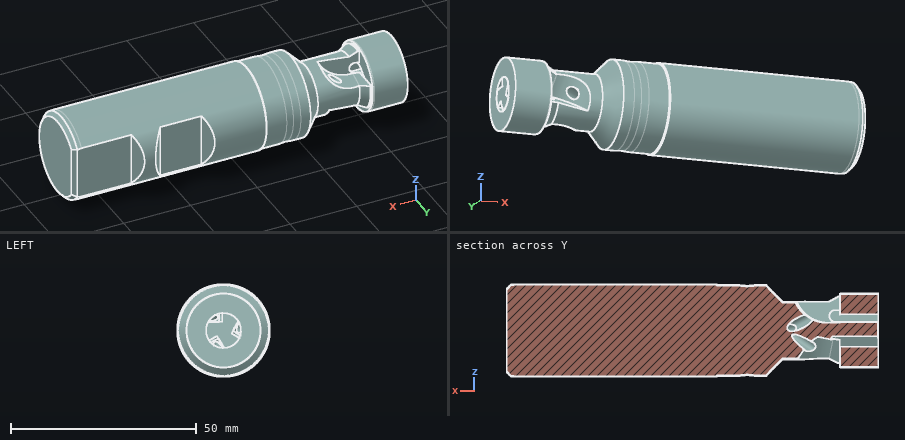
import cadquery as cq
import math

LENGTH = 100.0
HEAD_END = 10.4
COLLAR_END = 10.8
FLARE_END = 13.3
NECK_END = 25.8
BODY_START = 30.2
GROOVE_CENTRE = 35.3
GROOVE_HALF_WIDTH = 2.1
SHANK_START = 43.3
HEAD_CHAMFER_LENGTH = 0.4
SHANK_CHAMFER_LENGTH = 1.2
SHANK_LEAD_LENGTH = 1.2

HEAD_RADIUS = 20.0 / 2
COLLAR_RADIUS = 9.2
NECK_RADIUS = 15.6 / 2
BODY_RADIUS = 24.5 / 2
SHANK_RADIUS = 25.0 / 2
HEAD_CHAMFER_DEPTH = 0.1
GROOVE_DEPTH = 0.2
SHANK_LEAD_DEPTH = 0.1
SHANK_CHAMFER_DEPTH = 1.2

FLAT_Y = 9.8
FIRST_FLAT = (61.7, 74.0)
SECOND_FLAT_START = 82.7

FLUTE_COUNT = 3
SPIGOT_RADIUS = 4.7
SPIGOT_RECESS = 0.1
FLUTE_FLOOR_Z = 2.2
FLUTE_SKEW = 9.8
FLUTE_WALL_OFFSET = 3.4
FLUTE_ARC_RADIUS = 9.2
FLUTE_ARC_CENTRE = (13.8, 11.3)
FLUTE_SIZE = 14.0

SLOT_END = 13.2
SLOT_FLOOR_Z = 2.3
SLOT_HEIGHT = 3.2
SLOT_WALL_Y = 0.4

COOLANT_DIAMETER = 3.0
COOLANT_MOUTH = (18.3, 3.2, 3.5)
COOLANT_TARGET_X = 25.0
COOLANT_ENTRY = 0.5


def turned_body():
    shank_end = LENGTH - SHANK_CHAMFER_LENGTH
    shank_step = SHANK_RADIUS - BODY_RADIUS
    lead_radius = SHANK_RADIUS - SHANK_LEAD_DEPTH
    outline = [
        (0, 0),
        (0, HEAD_RADIUS),
        (HEAD_END - HEAD_CHAMFER_LENGTH, HEAD_RADIUS),
        (HEAD_END, HEAD_RADIUS - HEAD_CHAMFER_DEPTH),
        (HEAD_END, COLLAR_RADIUS),
        (COLLAR_END, COLLAR_RADIUS),
        (FLARE_END, NECK_RADIUS),
        (NECK_END, NECK_RADIUS),
        (BODY_START, BODY_RADIUS),
        (GROOVE_CENTRE - GROOVE_HALF_WIDTH, BODY_RADIUS),
        (GROOVE_CENTRE, BODY_RADIUS - GROOVE_DEPTH),
        (GROOVE_CENTRE + GROOVE_HALF_WIDTH, BODY_RADIUS),
        (SHANK_START, BODY_RADIUS),
        (SHANK_START + shank_step, SHANK_RADIUS),
        (shank_end - SHANK_LEAD_LENGTH, SHANK_RADIUS),
        (shank_end, lead_radius),
        (LENGTH, lead_radius - SHANK_CHAMFER_DEPTH),
        (LENGTH, 0),
    ]
    return cq.Workplane("XY").polyline(outline).close().revolve(360, (0, 0, 0), (1, 0, 0))


def clamping_flats():
    """Two flats with 45 degree run-outs; the second one runs off the chamfered shank end."""
    depth = SHANK_RADIUS - FLAT_Y
    start, end = FIRST_FLAT
    first = [
        (start, FLAT_Y),
        (end, FLAT_Y),
        (end + depth, SHANK_RADIUS),
        (start - depth, SHANK_RADIUS),
    ]
    second = [
        (SECOND_FLAT_START, FLAT_Y),
        (LENGTH - SHANK_CHAMFER_LENGTH, FLAT_Y),
        (LENGTH, FLAT_Y - SHANK_CHAMFER_DEPTH),
        (LENGTH, SHANK_RADIUS),
        (SECOND_FLAT_START - depth, SHANK_RADIUS),
    ]
    plane = cq.Workplane("XY")
    cutters = plane.polyline(first).close().extrude(SHANK_RADIUS, both=True)
    return cutters.union(plane.polyline(second).close().extrude(SHANK_RADIUS, both=True))


def skewed_gullet():
    """Flat floor sweeping up through an arc, bounded by a wall skewed to the axis."""
    centre_x, centre_z = FLUTE_ARC_CENTRE
    floor_drop = centre_z - FLUTE_FLOOR_Z
    arc_start_x = centre_x - math.sqrt(FLUTE_ARC_RADIUS**2 - floor_drop**2)
    arc_end_x = centre_x + FLUTE_ARC_RADIUS
    gullet = (
        cq.Workplane("XZ")
        .moveTo(0, FLUTE_FLOOR_Z)
        .lineTo(arc_start_x, FLUTE_FLOOR_Z)
        .threePointArc(
            (centre_x + FLUTE_ARC_RADIUS * math.sin(math.pi / 4),
             centre_z - FLUTE_ARC_RADIUS * math.cos(math.pi / 4)),
            (arc_end_x, centre_z),
        )
        .lineTo(arc_end_x, FLUTE_SIZE)
        .lineTo(0, FLUTE_SIZE)
        .close()
        .extrude(-FLUTE_SIZE)
    )
    return gullet.rotate((0, 0, 0), (0, 0, 1), -FLUTE_SKEW).translate((0, FLUTE_WALL_OFFSET, 0))


def spigot_slot():
    """Straight slot from the cutting face, with a round end in the flute wall."""
    radius = SLOT_HEIGHT / 2
    return (
        cq.Workplane("XZ", origin=(0, SLOT_WALL_Y, 0))
        .moveTo(0, SLOT_FLOOR_Z)
        .lineTo(SLOT_END - radius, SLOT_FLOOR_Z)
        .threePointArc(
            (SLOT_END, SLOT_FLOOR_Z + radius),
            (SLOT_END - radius, SLOT_FLOOR_Z + SLOT_HEIGHT),
        )
        .lineTo(0, SLOT_FLOOR_Z + SLOT_HEIGHT)
        .close()
        .extrude(-FLUTE_SIZE)
    )


def neck_zone():
    """Space behind the head, where the flutes may cut to full width."""
    return cq.Workplane("YZ", origin=(HEAD_END, 0, 0)).circle(SHANK_RADIUS).extrude(NECK_END - HEAD_END)


def spigot_core(length):
    return cq.Workplane("YZ").circle(SPIGOT_RADIUS).extrude(length)


def coolant_hole():
    mouth = cq.Vector(*COOLANT_MOUTH)
    travel = cq.Vector(COOLANT_TARGET_X, 0, 0) - mouth
    start = mouth - travel * COOLANT_ENTRY
    length = travel.Length * (1 + COOLANT_ENTRY)
    return cq.Solid.makeCylinder(COOLANT_DIAMETER / 2, length, start, travel)


result = turned_body().cut(clamping_flats())
flute_cutters = [
    skewed_gullet().intersect(neck_zone()),
    spigot_slot().intersect(spigot_core(HEAD_END).union(neck_zone())),
    cq.Workplane(coolant_hole()),
]
for cutter in flute_cutters:
    for index in range(FLUTE_COUNT):
        result = result.cut(cutter.rotate((0, 0, 0), (1, 0, 0), index * 360 / FLUTE_COUNT))
result = result.cut(spigot_core(SPIGOT_RECESS))